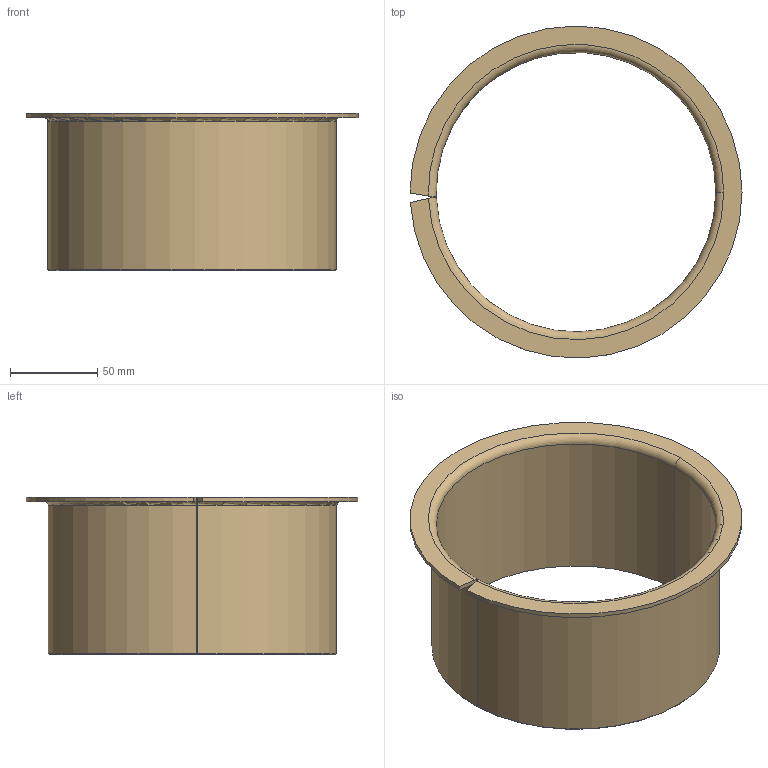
import cadquery as cq
import math

bore_diameter = 160.0
wall = 2.5
flange_diameter = 190.0
length = 90.0
outer_bend_radius = 2.0
end_chamfer = 0.5

joint_angle = 182.0
joint_gap = 0.5
notch_half_angle = 11.0

bore_radius = bore_diameter / 2
tube_radius = bore_radius + wall
flange_radius = flange_diameter / 2
inner_bend_radius = outer_bend_radius + wall
bend_edge_radius = tube_radius + outer_bend_radius
bend_start_z = length - inner_bend_radius
overcut = 5.0


def bend_midpoint(radius):
    """Middle (r, z) of a quarter bend of the given radius."""
    offset = radius * math.sqrt(0.5)
    return bend_edge_radius - offset, bend_start_z + offset


def make_bushing():
    """Tube, bend and flange as one revolved wall section."""
    section = (
        cq.Workplane("XZ")
        .moveTo(bore_radius, 0)
        .lineTo(tube_radius - end_chamfer, 0)
        .lineTo(tube_radius, end_chamfer)
        .lineTo(tube_radius, bend_start_z)
        .threePointArc(bend_midpoint(outer_bend_radius), (bend_edge_radius, length - wall))
        .lineTo(flange_radius, length - wall)
        .lineTo(flange_radius, length)
        .lineTo(bend_edge_radius, length)
        .threePointArc(bend_midpoint(inner_bend_radius), (bore_radius, bend_start_z))
        .close()
    )
    return section.revolve(360, (0, 0, 0), (0, 1, 0))


def make_joint_cutter():
    """Narrow slit through the wall that widens to a V through the flange."""
    half_gap = joint_gap / 2
    start = bore_radius - overcut
    end = flange_radius + overcut
    half_mouth = half_gap + (end - tube_radius) * math.tan(math.radians(notch_half_angle))
    outline = [
        (start, -half_gap),
        (tube_radius, -half_gap),
        (end, -half_mouth),
        (end, half_mouth),
        (tube_radius, half_gap),
        (start, half_gap),
    ]
    cutter = cq.Workplane("XY").polyline(outline).close().extrude(length)
    return cutter.rotate((0, 0, 0), (0, 0, 1), joint_angle)


result = make_bushing().cut(make_joint_cutter())